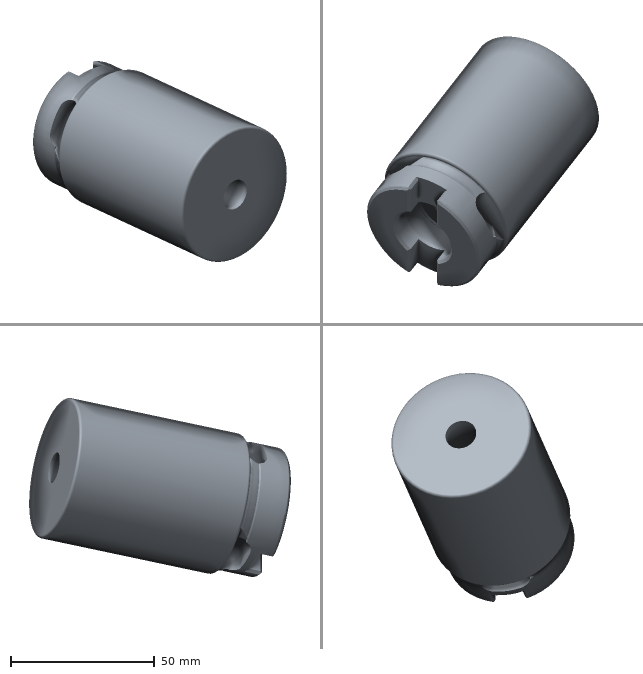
import cadquery as cq
import math

length = 80.05
body_radius = 50.0 / 2
neck_radius = 46.0 / 2
edge_break = 1.0

neck_edge_height = 0.6
neck_edge_x = 0.5
neck_edge_end_x = 1.4
neck_edge_rounding = 1.05
neck_end_x = 11.6
flare_start_x = 12.2
flare_start_radius = 22.8
flare_end_x = 15.1
flare_end_radius = 23.6
shoulder_x = 16.0
shoulder_core_x = 14.4
shoulder_core_radius = 17.6

bore_radius = 22.0 / 2
bore_step_x = 7.5
relief_radius = 22.3 / 2
relief_end_x = 15.45
bore_depth = 16.5
hole_radius = 11.0 / 2

slot_width = 10.6
slot_depth = 6.3

pocket_count = 3
pocket_tilt = 46.0
pocket_radius = 4.0
pocket_x = 12.9
pocket_height = 18.65
pocket_start = -2.3
pocket_end = -11.2
cutter_top = 30.4

ramp_tilt = 38.0
ramp_start = -5.6
ramp_run = 16.0
ramp_front_x = 11.9
ramp_front_height = 18.5
ramp_back_height = 16.4


def turned(points):
    """Revolve an (x, radius) outline about the X axis."""
    return cq.Workplane("XY").polyline(points).close().revolve(360, (0, 0, 0), (1, 0, 0))


def make_neck():
    outline = (
        cq.Workplane("XY")
        .moveTo(0, 0)
        .lineTo(0, neck_radius - 2 * neck_edge_height)
        .lineTo(neck_edge_x, neck_radius - neck_edge_height)
        .radiusArc((neck_edge_end_x, neck_radius), neck_edge_rounding)
        .lineTo(neck_end_x, neck_radius)
        .lineTo(flare_start_x, flare_start_radius)
        .lineTo(flare_end_x, flare_end_radius)
        .lineTo(shoulder_x, flare_end_radius)
        .lineTo(shoulder_x, 0)
        .close()
    )
    return outline.revolve(360, (0, 0, 0), (1, 0, 0))


def make_body():
    outline = (
        cq.Workplane("XY")
        .moveTo(shoulder_core_x, 0)
        .lineTo(shoulder_core_x, shoulder_core_radius)
        .lineTo(shoulder_x, flare_end_radius)
        .lineTo(shoulder_x, body_radius - edge_break)
        .radiusArc((shoulder_x + edge_break, body_radius), edge_break)
        .lineTo(length - edge_break, body_radius)
        .radiusArc((length, body_radius - edge_break), edge_break)
        .lineTo(length, 0)
        .close()
    )
    return outline.revolve(360, (0, 0, 0), (1, 0, 0))


def make_pocket():
    """Ball-ended slot, laid out with +Z outward and Y sideways, then turned to its place."""
    run = pocket_start - pocket_end
    middle = (pocket_start + pocket_end) / 2
    shaft = (
        cq.Workplane("XY", origin=(pocket_x, middle, pocket_height))
        .slot2D(run + 2 * pocket_radius, 2 * pocket_radius, 90)
        .extrude(cutter_top - pocket_height)
    )
    floor = (
        cq.Workplane("XZ", origin=(pocket_x, pocket_start, pocket_height))
        .circle(pocket_radius)
        .extrude(run)
    )
    cutter = shaft.union(floor)
    for place in (pocket_start, pocket_end):
        ball = cq.Workplane("XY").sphere(pocket_radius)
        cutter = cutter.union(ball.translate((pocket_x, place, pocket_height)))
    return cutter.rotate((0, 0, 0), (1, 0, 0), 90 - pocket_tilt)


def make_ramp():
    """Sloped wedge toward the shoulder, laid out and turned like the pocket."""
    ramp = (
        cq.Workplane("XZ", origin=(0, ramp_start, 0))
        .polyline([
            (ramp_front_x, cutter_top),
            (ramp_front_x, ramp_front_height),
            (shoulder_x, ramp_back_height),
            (shoulder_x, cutter_top),
        ])
        .close()
        .extrude(ramp_run)
    )
    return ramp.rotate((0, 0, 0), (1, 0, 0), 90 - ramp_tilt)


def cut_pockets(neck):
    first = make_pocket().union(make_ramp())
    for index in range(pocket_count):
        turn = index * 360 / pocket_count
        neck = neck.cut(first.rotate((0, 0, 0), (1, 0, 0), turn))
    return neck


def make_bore():
    return turned([
        (0, 0),
        (0, bore_radius + edge_break),
        (edge_break, bore_radius),
        (bore_step_x, bore_radius),
        (bore_step_x, relief_radius),
        (relief_end_x, relief_radius),
        (relief_end_x, bore_radius),
        (bore_depth, bore_radius),
        (bore_depth, hole_radius),
        (length, hole_radius),
        (length, 0),
    ])


def make_drive_slot():
    """Slot along Z with chamfered mouth edges."""
    half = slot_width / 2
    return (
        cq.Workplane("XY")
        .polyline([
            (0, half + edge_break),
            (edge_break, half),
            (slot_depth, half),
            (slot_depth, -half),
            (edge_break, -half),
            (0, -half - edge_break),
        ])
        .close()
        .extrude(body_radius, both=True)
    )


def make_slot_corner_breaks():
    """Bevels where the slot walls run out at the neck surface."""
    half = slot_width / 2
    corner_z = math.sqrt(neck_radius ** 2 - (half + edge_break) ** 2)
    bevel = (
        cq.Workplane("YZ")
        .polyline([
            (half, corner_z - edge_break),
            (half + edge_break, corner_z),
            (half + edge_break, neck_radius),
            (half, neck_radius),
        ])
        .close()
        .extrude(slot_depth)
    )
    pair = bevel.union(bevel.mirror("XZ"))
    return pair.union(pair.mirror("XY"))


result = cut_pockets(make_neck()).union(make_body())
result = result.cut(make_bore()).cut(make_drive_slot()).cut(make_slot_corner_breaks())